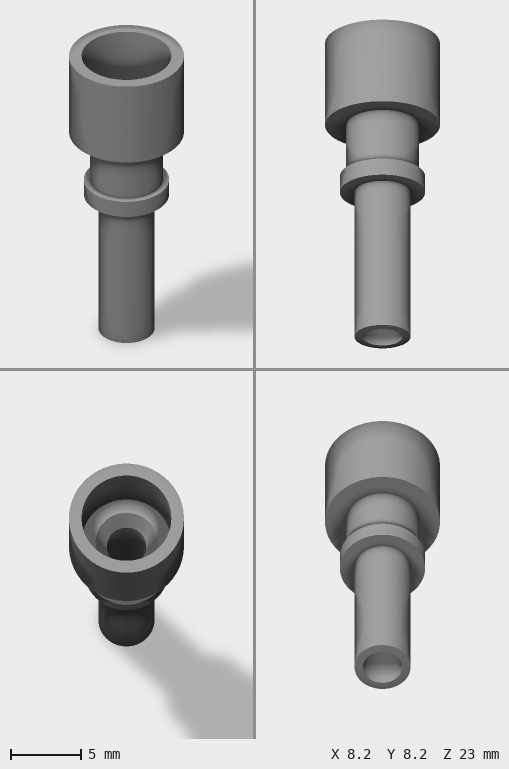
import cadquery as cq

total_height = 23.03
head_height = 6.4
neck_height = 4.0
collar_height = 1.27

head_diameter = 8.2
neck_diameter = 5.2
collar_diameter = 6.08
shank_diameter = 4.0

tip_diameter = 2.9
tip_taper_height = 0.05

cup_diameter = 6.4
cup_depth = 5.41
lead_in_diameter = 4.4
lead_in_depth = 1.0
bore_diameter = 2.8

head_bottom = total_height - head_height
collar_top = head_bottom - neck_height
collar_bottom = collar_top - collar_height
cup_floor = total_height - cup_depth
lead_in_bottom = cup_floor - lead_in_depth

profile = [
    (bore_diameter / 2, 0),
    (tip_diameter / 2, 0),
    (shank_diameter / 2, tip_taper_height),
    (shank_diameter / 2, collar_bottom),
    (collar_diameter / 2, collar_bottom),
    (collar_diameter / 2, collar_top),
    (neck_diameter / 2, collar_top),
    (neck_diameter / 2, head_bottom),
    (head_diameter / 2, head_bottom),
    (head_diameter / 2, total_height),
    (cup_diameter / 2, total_height),
    (cup_diameter / 2, cup_floor),
    (lead_in_diameter / 2, cup_floor),
    (bore_diameter / 2, lead_in_bottom),
]

result = cq.Workplane("XZ").polyline(profile).close().revolve(360, (0, 0, 0), (0, 1, 0))